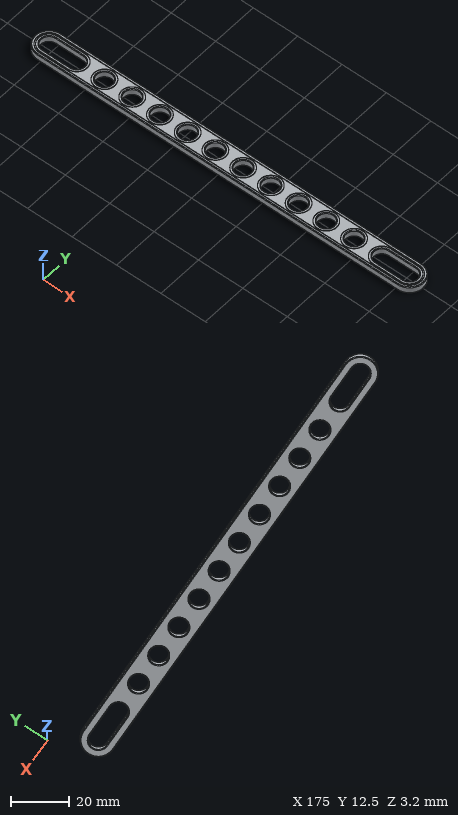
import cadquery as cq

length = 175.0
pitch_count = 14
thickness = 3.2
hole_diameter = 7.0
wall_width = 1.1
recess_depth = 0.2
edge_chamfer = 0.3
slot_pitches = 2

pitch = length / pitch_count
width = pitch
end_center_x = (length - width) / 2
slot_center_x = end_center_x - pitch / 2
collar_diameter = hole_diameter + 2 * wall_width
hole_count = pitch_count - 2 * slot_pitches


def stadium(span, diameter, height):
    """Round-ended bar along X, standing on Z = 0, with its end centers a span apart."""
    return cq.Workplane("XY").slot2D(span + diameter, diameter).extrude(height)


def openings(diameter):
    """Full-height row of round cylinders with one long slot shape at each end."""
    row = (
        cq.Workplane("XY")
        .rarray(pitch, 1.8, hole_count, 1)
        .circle(diameter / 2)
        .extrude(thickness)
    )
    slot = stadium(pitch, diameter, thickness)
    for x in (-slot_center_x, slot_center_x):
        row = row.union(slot.translate((x, 0, 0)))
    return row


def chamfered_strip():
    """Round-ended strip with its holes and slots, all top and bottom edges chamfered."""
    strip = stadium(2 * end_center_x, width, thickness).cut(openings(hole_diameter))
    return strip.faces("<Z or >Z").chamfer(edge_chamfer)


def top_recess():
    """Shallow pocket inside the rim that leaves a collar around every opening."""
    pocket = stadium(2 * end_center_x, width - 2 * wall_width, recess_depth)
    pocket = pocket.translate((0, 0, thickness - recess_depth))
    return pocket.cut(openings(collar_diameter))


result = chamfered_strip().cut(top_recess())